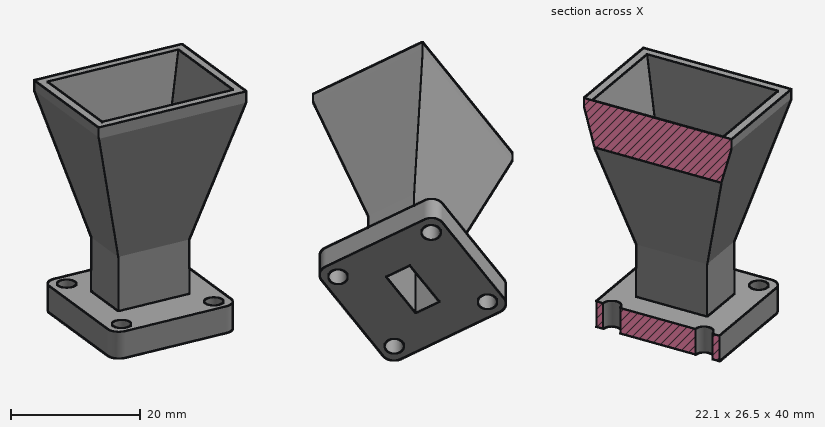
import cadquery as cq

total_height = 40.0
mouth_x = 20.0
mouth_y = 26.5

flange_side = 22.1
flange_thickness = 4.6
flange_corner_radius = 2.0
hole_diameter = 3.0
hole_spacing_x = 17.0
hole_spacing_y = 16.5

bore_x = 4.3
bore_y = 8.65
opening_x = 16.95
opening_y = 23.45

neck_wall = 2.05
flare_wall = 2.0
neck_top = 13.85
neck_x = bore_x + 2 * neck_wall
neck_y = bore_y + 2 * neck_wall
flare_x = opening_x + 2 * flare_wall
flare_y = opening_y + 2 * flare_wall


def box_between(x_size, y_size, bottom, top):
    """Box centred on the Z axis between two heights."""
    return cq.Workplane("XY").workplane(offset=bottom).rect(x_size, y_size).extrude(top - bottom)


def frustum(bottom_size, top_size, bottom, top):
    """Rectangular taper centred on the Z axis between two heights."""
    return (
        cq.Workplane("XY")
        .workplane(offset=bottom)
        .rect(*bottom_size)
        .workplane(offset=top - bottom)
        .rect(*top_size)
        .loft(ruled=True)
    )


flange = (
    box_between(flange_side, flange_side, 0, flange_thickness)
    .edges("|Z")
    .fillet(flange_corner_radius)
    .faces(">Z")
    .workplane()
    .rect(hole_spacing_x, hole_spacing_y, forConstruction=True)
    .vertices()
    .hole(hole_diameter)
)

neck = box_between(neck_x, neck_y, flange_thickness, neck_top)
full_flare = frustum((neck_x, neck_y), (flare_x, flare_y), neck_top, total_height)
flare = full_flare.intersect(box_between(mouth_x, mouth_y, neck_top, total_height))

bore = box_between(bore_x, bore_y, 0, neck_top)
flare_cavity = frustum((bore_x, bore_y), (opening_x, opening_y), neck_top, total_height)

result = flange.union(neck).union(flare).cut(bore).cut(flare_cavity)